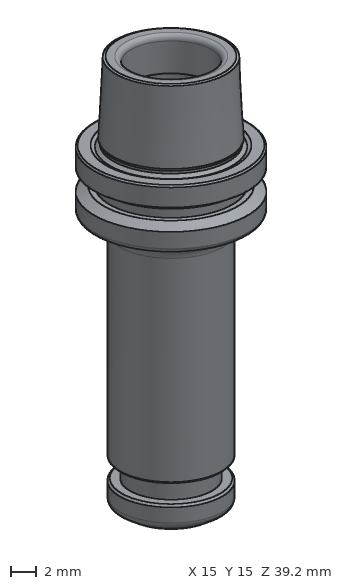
import cadquery as cq
import math

length = 39.2
flange_radius = 7.5
shank_radius = 10.0 / 2

collar_end_radius = 3.85
collar_cone_height = 0.5
collar_cone_radius = 4.65
collar_round_middle_radius = 4.95
collar_round_middle_height = 0.8
collar_round_top = 1.1
collar_top = 2.63
groove_radius = 4.0
groove_top = 4.43
edge_chamfer = 0.2

flange_bottom = 25.6
flange_top = 31.48
flange_bottom_round = 0.45
shank_fillet = 1.55
gripper_radius = 11.95 / 2
gripper_lip_radius = 6.5
gripper_bottom = 28.0
gripper_top = 29.0
gripper_bevel_bottom = 27.48
gripper_bevel_top = 29.6
flange_top_chamfer = 0.15

relief_radius = 11.95 / 2
relief_mouth_radius = 6.3
relief_depth = 0.1
neck_radius = 5.6
neck_bottom = 31.65
nose_bottom = 32.1
nose_bottom_radius = 5.72
nose_top_radius = 5.37
nose_rim_radius = 5.15
nose_rim_drop = 0.08
nose_undercut_bevel = 0.25

through_radius = 3.0 / 2
socket_radius = 3.92
socket_mouth_radius = 4.43
socket_mouth_round = socket_mouth_radius - socket_radius
socket_step = 35.85
socket_floor = 31.48
socket_floor_radius = 3.85
socket_floor_chamfer = 0.35

diagonal = math.sqrt(0.5)


def arc_middle(center_r, center_z, radius, r_side, z_side):
    """Middle point of a quarter arc lying on the given side of its center."""
    offset = radius * diagonal
    return (center_r + r_side * offset, center_z + z_side * offset)


def make_body():
    """Revolve the outer profile, drawn as (radius, height), about Z."""
    flange_round_r = flange_radius - flange_bottom_round
    flange_round_z = flange_bottom + flange_bottom_round
    fillet_r = shank_radius + shank_fillet
    fillet_z = flange_bottom - shank_fillet
    profile = (
        cq.Workplane("XZ")
        .moveTo(0, 0)
        .lineTo(collar_end_radius, 0)
        .lineTo(collar_cone_radius, collar_cone_height)
        .threePointArc(
            (collar_round_middle_radius, collar_round_middle_height),
            (shank_radius, collar_round_top),
        )
        .lineTo(shank_radius, collar_top - edge_chamfer)
        .lineTo(shank_radius - edge_chamfer, collar_top)
        .lineTo(groove_radius, collar_top)
        .lineTo(groove_radius, groove_top)
        .lineTo(shank_radius - edge_chamfer, groove_top)
        .lineTo(shank_radius, groove_top + edge_chamfer)
        .lineTo(shank_radius, fillet_z)
        .threePointArc(arc_middle(fillet_r, fillet_z, shank_fillet, -1, 1), (fillet_r, flange_bottom))
        .lineTo(flange_round_r, flange_bottom)
        .threePointArc(
            arc_middle(flange_round_r, flange_round_z, flange_bottom_round, 1, -1),
            (flange_radius, flange_round_z),
        )
        .lineTo(flange_radius, gripper_bevel_bottom)
        .lineTo(gripper_lip_radius, gripper_bottom)
        .lineTo(gripper_radius, gripper_bottom)
        .lineTo(gripper_radius, gripper_top)
        .lineTo(gripper_lip_radius, gripper_top)
        .lineTo(flange_radius, gripper_bevel_top)
        .lineTo(flange_radius, flange_top - flange_top_chamfer)
        .lineTo(flange_radius - flange_top_chamfer, flange_top)
        .lineTo(relief_mouth_radius, flange_top)
        .lineTo(relief_radius, flange_top - relief_depth)
        .lineTo(neck_radius, neck_bottom)
        .lineTo(neck_radius, nose_bottom - nose_undercut_bevel)
        .lineTo(nose_bottom_radius, nose_bottom)
        .lineTo(nose_top_radius, length - nose_rim_drop)
        .lineTo(nose_rim_radius, length)
        .lineTo(0, length)
        .close()
    )
    return profile.revolve(360, (0, 0, 0), (0, 1, 0))


def make_bore():
    """Through hole opening into a stepped socket with a rounded mouth."""
    mouth_z = length - socket_mouth_round
    profile = (
        cq.Workplane("XZ")
        .moveTo(0, 0)
        .lineTo(through_radius, 0)
        .lineTo(through_radius, socket_floor)
        .lineTo(socket_floor_radius - socket_floor_chamfer, socket_floor)
        .lineTo(socket_floor_radius, socket_floor + socket_floor_chamfer)
        .lineTo(socket_floor_radius, socket_step)
        .lineTo(socket_radius, socket_step)
        .lineTo(socket_radius, mouth_z)
        .threePointArc(
            arc_middle(socket_mouth_radius, mouth_z, socket_mouth_round, -1, 1),
            (socket_mouth_radius, length),
        )
        .lineTo(0, length)
        .close()
    )
    return profile.revolve(360, (0, 0, 0), (0, 1, 0))


result = make_body().cut(make_bore())